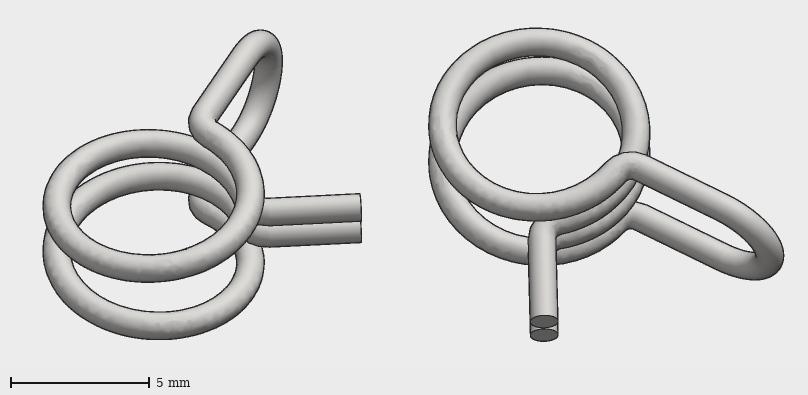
import cadquery as cq
import math

overall_length = 12.72
wire_diameter = 1.0
coil_radius = 3.5
bend_radius = 0.75
loop_height = 2.0
tail_height = 0.55
loop_angle = 120.0
tail_angle = 60.0
coil_pieces = 3

wire_radius = wire_diameter / 2
loop_tip_reach = (overall_length - coil_radius - wire_diameter) / math.sin(math.radians(loop_angle))
leg_reach = loop_tip_reach - loop_height

bend_center_reach = coil_radius + bend_radius
bend_angle = math.degrees(math.asin(bend_radius / bend_center_reach))
bend_end_reach = math.sqrt(bend_center_reach**2 - bend_radius**2)
bend_length = bend_radius * math.radians(90 - bend_angle)

coil_start_angle = tail_angle + bend_angle
coil_end_angle = loop_angle - bend_angle
coil_sweep = 360 + coil_end_angle - coil_start_angle
coil_length = coil_radius * math.radians(coil_sweep)
coil_slope = (loop_height - tail_height) / (coil_length + bend_length)
coil_start_height = tail_height + coil_slope * bend_length / 2
coil_end_height = loop_height - coil_slope * bend_length / 2


def polar(reach, angle, height):
    """Point at a distance and angle (degrees) around the coil axis."""
    turn = math.radians(angle)
    return cq.Vector(reach * math.cos(turn), reach * math.sin(turn), height)


def coil_direction(angle):
    """Counterclockwise, rising direction of the coil at an angle."""
    return polar(1, angle + 90, coil_slope)


def coil_edges():
    """Helix from tail bend to leg bend, in equal pieces of under half a turn."""
    piece_sweep = coil_sweep / coil_pieces
    piece_rise = (coil_end_height - coil_start_height) / coil_pieces
    pitch = piece_rise * 360 / piece_sweep
    edges = []
    for i in range(coil_pieces):
        base = cq.Vector(0, 0, coil_start_height + i * piece_rise)
        helix = cq.Wire.makeHelix(pitch, piece_rise, coil_radius, center=base)
        turned = helix.rotate(cq.Vector(0, 0, 0), cq.Vector(0, 0, 1), coil_start_angle + i * piece_sweep)
        edges.append(turned.Edges()[0])
    return edges


def bend_edge(start, end, start_direction, end_direction, center_angle):
    """Arc in plan whose slope blends from the leg to the coil."""
    coil_is_end = end_direction.z > start_direction.z
    middle_fraction = 0.25 if coil_is_end else 0.75
    middle_height = start.z + (end.z - start.z) * middle_fraction
    center = polar(bend_center_reach, center_angle, 0)
    chord_middle = (start + end) * 0.5
    outward = cq.Vector(chord_middle.x, chord_middle.y, 0) - center
    middle = center + outward.normalized() * bend_radius + cq.Vector(0, 0, middle_height)
    return cq.Edge.makeSpline([start, middle, end], tangents=[start_direction, end_direction])


def half_clip():
    """Upper coil with its tail, its grip leg and the upper quarter of the grip loop."""
    tail_tip = polar(leg_reach, tail_angle, tail_height)
    tail_root = polar(bend_end_reach, tail_angle, tail_height)
    coil_start = polar(coil_radius, coil_start_angle, coil_start_height)
    coil_end = polar(coil_radius, coil_end_angle, coil_end_height)
    leg_root = polar(bend_end_reach, loop_angle, loop_height)
    leg_end = polar(leg_reach, loop_angle, loop_height)
    loop_tip = polar(loop_tip_reach, loop_angle, 0)
    half_way = loop_height * math.sqrt(0.5)
    loop_middle = polar(leg_reach + half_way, loop_angle, half_way)

    tail_inward = polar(-1, tail_angle, 0)
    leg_outward = polar(1, loop_angle, 0)
    tail_bend = bend_edge(
        tail_root, coil_start, tail_inward, coil_direction(coil_start_angle), coil_start_angle
    )
    leg_bend = bend_edge(
        coil_end, leg_root, coil_direction(coil_end_angle), leg_outward, coil_end_angle
    )
    path = cq.Wire.assembleEdges([
        cq.Edge.makeLine(tail_tip, tail_root),
        tail_bend,
        *coil_edges(),
        leg_bend,
        cq.Edge.makeLine(leg_root, leg_end),
        cq.Edge.makeThreePointArc(leg_end, loop_middle, loop_tip),
    ])
    section = cq.Workplane(cq.Plane(origin=tail_tip, normal=tail_inward)).circle(wire_radius)
    return section.sweep(cq.Workplane(path))


upper_half = half_clip()
result = upper_half.union(upper_half.mirror("XY"))